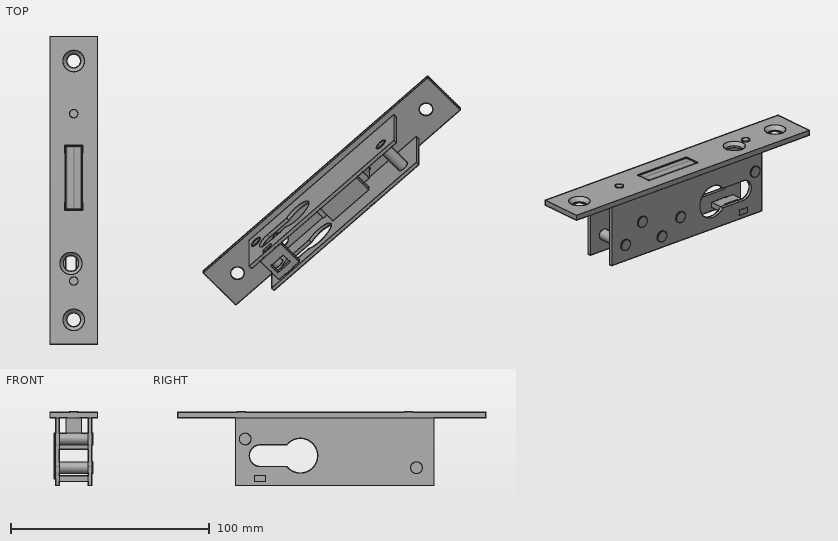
import cadquery as cq

plate_width = 24.0
plate_length = 155
plate_thickness = 2.8
screw_hole_pitch = 130.2
screw_hole_diameter = 6.8
countersink_diameter = 10.8
cylinder_screw_x = -1.4
cylinder_screw_y = -36.7
cylinder_screw_hole_diameter = 7.8
cylinder_screw_countersink_diameter = 11.2
countersink_angle = 90
rivet_diameter = 4.2
rivet_height = 0.5
rivet_ys = (38.6, -45.5)

case_width = 18.3
cheek_thickness = 1.9
cheek_length = 100.0
cheek_height = 34.1
case_y = 1.5
inner_width = case_width - 2 * cheek_thickness

keyhole_y = -15.8
keyhole_z = -19.0
keyhole_diameter = 17.4
keyhole_slot_width = 10.8
keyhole_slot_end_y = -41.4

pin_diameter = 5.9
left_head_height = 0.8
right_head_height = 0.5
through_pins = ((-43.5, -10.7), (42.6, -25.1))
stud_pins = ((31.5, -15.7), (18.5, -27.7), (6.0, -20.8))

bolt_width = 7.9
bolt_length = 31.8
bolt_y = 6.4
bolt_clearance = 0.5
bolt_ridge_drop = 0.2
bolt_edge_radius = 0.5
foot_length = 24.8
foot_top_z = -12.4
foot_bottom_z = -16.0

bar_thickness = 3.0
bar_top_z = -29.1
bar_length = 14.1
bar_y = -36.1
bar_side_gap = 0.23
tab_length = 5.5
bar_slot_width = 5.1
bar_slot_length = 8.5


def box(x_range, y_range, z_range):
    """Block spanning the given (low, high) ranges."""
    lows, highs = zip(x_range, y_range, z_range)
    sizes = [high - low for low, high in zip(lows, highs)]
    return cq.Workplane("XY").box(*sizes, centered=False).translate(lows)


def around(center, size):
    """Range of the given size about a center."""
    return (center - size / 2, center + size / 2)


def x_cylinder(diameter, axis, x_start, x_end):
    """Cylinder parallel to X about the (y, z) axis."""
    section = cq.Workplane("YZ", origin=(x_start, 0, 0)).center(*axis).circle(diameter / 2)
    return section.extrude(x_end - x_start)


def make_tab_strip():
    """Bar-thick strip that reaches through both cheeks."""
    return box(around(0, case_width), around(bar_y, tab_length), (bar_top_z - bar_thickness, bar_top_z))


def make_faceplate():
    plate = box(around(0, plate_width), around(0, plate_length), (0, plate_thickness))
    top = plate.faces(">Z").workplane(origin=(0, 0, plate_thickness))
    plate = top.pushPoints([(0, screw_hole_pitch / 2), (0, -screw_hole_pitch / 2)]).cskHole(
        screw_hole_diameter, countersink_diameter, countersink_angle
    )
    top = plate.faces(">Z").workplane(origin=(0, 0, plate_thickness))
    plate = top.pushPoints([(cylinder_screw_x, cylinder_screw_y)]).cskHole(
        cylinder_screw_hole_diameter, cylinder_screw_countersink_diameter, countersink_angle
    )
    plate = plate.cut(
        box(
            around(0, bolt_width + 2 * bolt_clearance),
            around(bolt_y, bolt_length + 2 * bolt_clearance),
            (0, plate_thickness),
        )
    )
    rivets = (
        cq.Workplane("XY", origin=(0, 0, plate_thickness))
        .pushPoints([(0, y) for y in rivet_ys])
        .circle(rivet_diameter / 2)
        .extrude(rivet_height)
    )
    return plate.union(rivets)


def make_keyhole():
    end_y = keyhole_slot_end_y + keyhole_slot_width / 2
    barrel = x_cylinder(keyhole_diameter, (keyhole_y, keyhole_z), -case_width / 2, case_width / 2)
    slot_end = x_cylinder(keyhole_slot_width, (end_y, keyhole_z), -case_width / 2, case_width / 2)
    slot = box(around(0, case_width), (end_y, keyhole_y), around(keyhole_z, keyhole_slot_width))
    return barrel.union(slot).union(slot_end)


def make_housing():
    """Faceplate, both cheeks and the pins riveted through them."""
    housing = make_faceplate()
    for side in (-1, 1):
        cheek = box(
            around(side * (case_width - cheek_thickness) / 2, cheek_thickness),
            around(case_y, cheek_length),
            (-cheek_height, 0),
        )
        housing = housing.union(cheek.cut(make_keyhole()).cut(make_tab_strip()))
    head_x = -case_width / 2 - left_head_height
    for axis in through_pins:
        housing = housing.union(x_cylinder(pin_diameter, axis, head_x, case_width / 2 + right_head_height))
    for axis in stud_pins:
        housing = housing.union(x_cylinder(pin_diameter, axis, head_x, cheek_thickness - case_width / 2))
    return housing


def make_bolt():
    """T-shaped bolt whose top has a shallow ridge along its middle and rounded edges."""
    half = bolt_width / 2
    shank = (
        cq.Workplane("XZ", origin=(0, bolt_y + bolt_length / 2, 0))
        .moveTo(-half, foot_top_z)
        .lineTo(half, foot_top_z)
        .lineTo(half, plate_thickness - bolt_ridge_drop)
        .lineTo(0, plate_thickness)
        .lineTo(-half, plate_thickness - bolt_ridge_drop)
        .close()
        .extrude(bolt_length)
    )
    long_edges = shank.edges("|Y").edges(">X or <X").edges(">Z")
    end_edges = shank.faces("|Y").edges(">Z")
    shank = shank.newObject(long_edges.vals() + end_edges.vals()).fillet(bolt_edge_radius)
    foot = box(around(0, inner_width), around(bolt_y, foot_length), (foot_bottom_z, foot_top_z))
    return shank.union(foot)


def make_spacer_bar():
    """Flat bar with a tab into each cheek and a slot under the cylinder screw hole."""
    bar = box(
        around(0, inner_width - 2 * bar_side_gap),
        around(bar_y, bar_length),
        (bar_top_z - bar_thickness, bar_top_z),
    )
    slot = box(
        around(cylinder_screw_x, bar_slot_width),
        around(cylinder_screw_y, bar_slot_length),
        (bar_top_z - bar_thickness, bar_top_z),
    )
    return bar.union(make_tab_strip()).cut(slot)


housing = make_housing()
bolt = make_bolt()
spacer_bar = make_spacer_bar()

result = cq.Compound.makeCompound([housing.val(), bolt.val(), spacer_bar.val()])